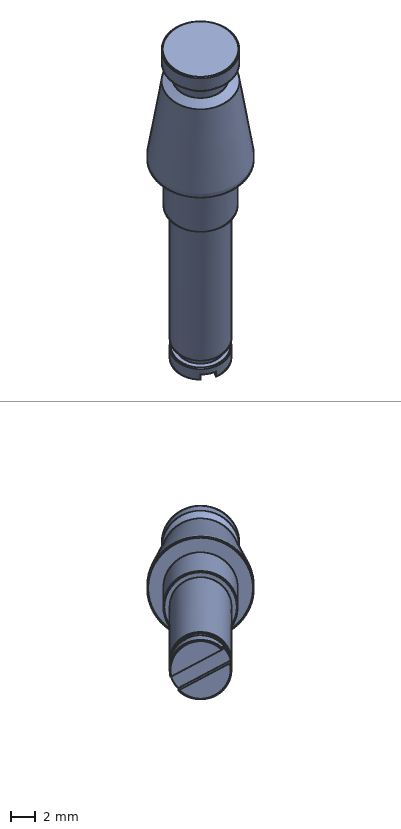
import cadquery as cq

head_diameter = 6.26
neck_diameter = 4.55
cone_diameter = 8.6
collar_diameter = 6.0
shaft_diameter = 5.0
groove_diameter = 4.0

total_height = 36.55
foot_height = 1.45
groove_height = 0.8
shaft_top = 18.05
collar_height = 5.45

rim_height = 0.55
head_height = 1.55
head_taper_height = 1.0
neck_height = 0.8
shoulder_height = 0.4

edge_chamfer = 0.1
slot_width = 1.3
slot_depth = 0.7

groove_top = foot_height + groove_height
rim_bottom = shaft_top + collar_height
rim_top = rim_bottom + rim_height
head_bottom = total_height - head_height
neck_top = head_bottom - head_taper_height
shoulder_top = neck_top - neck_height
cone_top = shoulder_top - shoulder_height


def turned_body():
    """Revolve the half outline, listed from the slotted end to the head."""
    foot_radius = shaft_diameter / 2
    groove_radius = groove_diameter / 2
    collar_radius = collar_diameter / 2
    rim_radius = cone_diameter / 2
    head_radius = head_diameter / 2
    neck_radius = neck_diameter / 2
    outline = [
        (0, 0),
        (foot_radius - edge_chamfer, 0),
        (foot_radius, edge_chamfer),
        (foot_radius, foot_height - edge_chamfer),
        (foot_radius - edge_chamfer, foot_height),
        (groove_radius, foot_height),
        (groove_radius, groove_top),
        (foot_radius - edge_chamfer, groove_top),
        (foot_radius, groove_top + edge_chamfer),
        (foot_radius, shaft_top),
        (collar_radius - edge_chamfer, shaft_top),
        (collar_radius, shaft_top + edge_chamfer),
        (collar_radius, rim_bottom),
        (rim_radius - edge_chamfer, rim_bottom),
        (rim_radius, rim_bottom + edge_chamfer),
        (rim_radius, rim_top),
        (head_radius, cone_top),
        (neck_radius, shoulder_top),
        (neck_radius, neck_top),
        (head_radius, head_bottom),
        (head_radius, total_height - edge_chamfer),
        (head_radius - edge_chamfer, total_height),
        (0, total_height),
    ]
    return cq.Workplane("XZ").polyline(outline).close().revolve(360, (0, 0, 0), (0, 1, 0))


def driver_slot():
    """Straight slot along X across the end face of the foot."""
    return cq.Workplane("XY").box(
        shaft_diameter, slot_width, slot_depth, centered=(True, True, False)
    )


result = turned_body().cut(driver_slot())